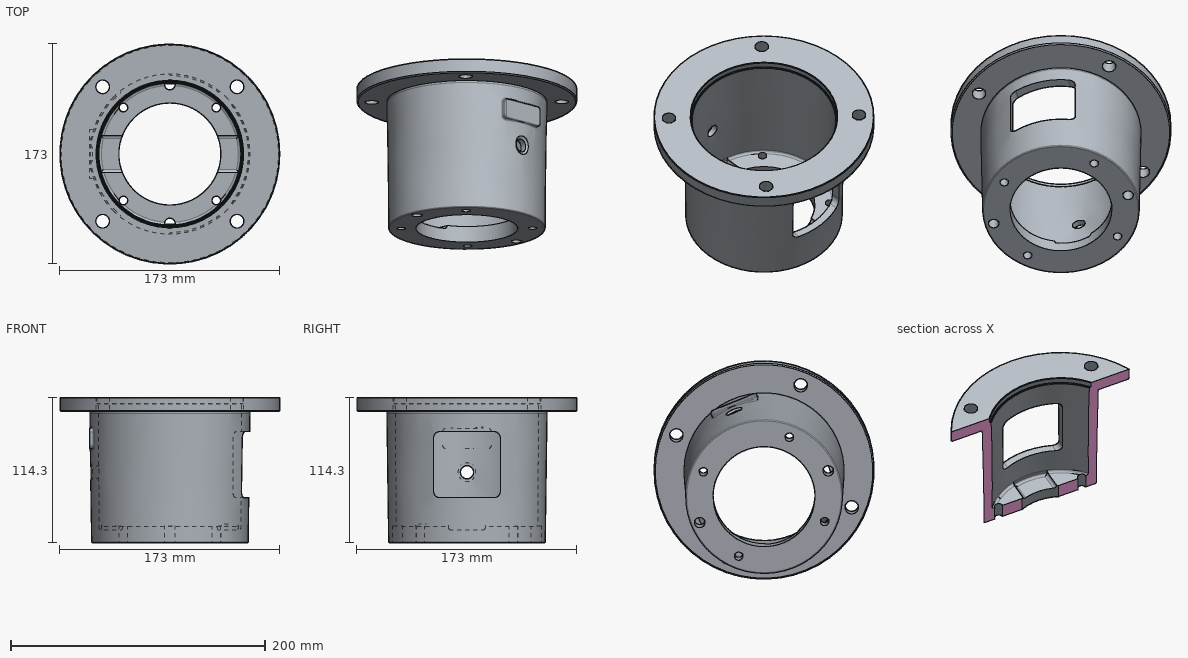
import cadquery as cq

total_height = 114.3
flange_diameter = 172.97
flange_thickness = 11.3
flange_top_chamfer = 0.5
flange_bottom_chamfer = 1.0

collar_height = 1.6
body_top_radius = 63.0
body_bottom_radius = 61.6
body_bottom_fillet = 0.8

pilot_radius = 57.5
pilot_depth = 4.8
pilot_edge_chamfer = 0.5
cavity_top_radius = 56.4
cavity_bottom_radius = 55.8
cavity_entry_chamfer = 0.6
floor_thickness = 12.7
floor_fillet = 2.0
floor_bore_diameter = 80.0

channel_half_width = 14.7
channel_depth = 2.7
channel_corner_radius = 2.5

flange_hole_diameter = 10.5
flange_hole_offset = 52.8
floor_hole_diameter = 6.6
floor_hole_offset = 36.5
edge_hole_diameter = 8.2
edge_hole_offset = 54.6
floor_hole_overrun = 0.4

window_width = 52.4
window_height = 52.0
window_center_z = 61.4
window_corner_radius = 5.0

side_hole_diameter = 10.2
side_hole_mouth_diameter = 15.0
side_hole_mouth_depth = 1.5
side_hole_z = 55.4

pad_width = 38.4
pad_height = 16.2
pad_center_z = 82.0
pad_face_x = -63.2
pad_corner_radius = 3.0
pad_edge_fillet = 0.8
pad_base_fillet = 0.8

flange_bottom_z = total_height - flange_thickness
collar_bottom_z = flange_bottom_z - collar_height
cavity_top_z = total_height - pilot_depth
channel_bottom_z = floor_thickness - channel_depth
flange_radius = flange_diameter / 2


def body_radius_at(z):
    """Outer radius of the drafted wall at height z."""
    return body_bottom_radius + (body_top_radius - body_bottom_radius) * z / collar_bottom_z


def make_shell():
    """Flange and drafted body as one solid of revolution."""
    outline = (
        cq.Workplane("XZ")
        .lineTo(body_bottom_radius, 0)
        .lineTo(body_top_radius, collar_bottom_z)
        .lineTo(body_top_radius, flange_bottom_z)
        .lineTo(flange_radius - flange_bottom_chamfer, flange_bottom_z)
        .lineTo(flange_radius, flange_bottom_z + flange_bottom_chamfer)
        .lineTo(flange_radius, total_height)
        .lineTo(0, total_height)
        .close()
    )
    shell = outline.revolve(360, (0, 0), (0, 1))
    shell = shell.edges("<Z").fillet(body_bottom_fillet)
    return shell.edges(">Z").chamfer(flange_top_chamfer)


def make_cavity():
    """Pilot bore and drafted inside of the body, down to the floor."""
    outline = (
        cq.Workplane("XZ")
        .moveTo(0, floor_thickness)
        .lineTo(cavity_bottom_radius, floor_thickness)
        .lineTo(cavity_top_radius, cavity_top_z - cavity_entry_chamfer)
        .lineTo(cavity_top_radius + cavity_entry_chamfer, cavity_top_z)
        .lineTo(pilot_radius, cavity_top_z)
        .lineTo(pilot_radius, total_height - pilot_edge_chamfer)
        .lineTo(pilot_radius + pilot_edge_chamfer, total_height)
        .lineTo(0, total_height)
        .close()
    )
    cavity = outline.revolve(360, (0, 0), (0, 1))
    return cavity.edges("<Z").fillet(floor_fillet)


def make_channel():
    """Round-cornered channel in the floor, with the same rounding at the wall as the floor."""
    channel_top_z = floor_thickness + floor_fillet
    bar = (
        cq.Workplane("XY", origin=(0, 0, channel_bottom_z))
        .rect(2 * flange_radius, 2 * channel_half_width)
        .extrude(channel_top_z - channel_bottom_z)
        .edges("|X and <Z")
        .fillet(channel_corner_radius)
    )
    rounded_end = (
        cq.Workplane("XY", origin=(0, 0, channel_bottom_z))
        .circle(cavity_bottom_radius)
        .extrude(total_height)
        .edges("<Z")
        .fillet(floor_fillet)
    )
    return bar.intersect(rounded_end)


def make_round_holes(centers, diameter, bottom_z, top_z):
    """Vertical holes of one diameter between two levels."""
    return (
        cq.Workplane("XY", origin=(0, 0, bottom_z))
        .pushPoints(centers)
        .circle(diameter / 2)
        .extrude(top_z - bottom_z)
    )


def corners(offset):
    """Four diagonal positions at the same offset in X and Y."""
    return [(sx * offset, sy * offset) for sx in (-1, 1) for sy in (-1, 1)]


def make_window():
    """Rounded rectangular opening through the +X wall."""
    return (
        cq.Workplane("YZ", origin=(0, 0, window_center_z))
        .rect(window_width, window_height)
        .extrude(flange_radius)
        .edges("|X")
        .fillet(window_corner_radius)
    )


def make_side_hole():
    """Countersunk round hole through the -X wall."""
    hole_radius = side_hole_diameter / 2
    mouth_radius = side_hole_mouth_diameter / 2
    wall_x = body_radius_at(side_hole_z)
    outline = (
        cq.Workplane("XY", origin=(0, 0, side_hole_z))
        .lineTo(0, hole_radius)
        .lineTo(side_hole_mouth_depth - wall_x, hole_radius)
        .lineTo(-wall_x, mouth_radius)
        .lineTo(-flange_radius, mouth_radius)
        .lineTo(-flange_radius, 0)
        .close()
    )
    return outline.revolve(360, (0, 0), (1, 0))


def make_pad():
    """Flat-faced pad that stands out of the -X wall."""
    pad_root_x = -floor_bore_diameter / 2
    return (
        cq.Workplane("YZ", origin=(pad_root_x, 0, pad_center_z))
        .rect(pad_width, pad_height)
        .extrude(pad_face_x - pad_root_x)
        .edges("|X")
        .fillet(pad_corner_radius)
        .faces("<X")
        .edges()
        .fillet(pad_edge_fillet)
    )


edge_hole_centers = [(0, -edge_hole_offset), (0, edge_hole_offset)]
floor_hole_top_z = floor_thickness + floor_hole_overrun

result = make_shell().union(make_pad())
result = result.edges("%BSPLINE").fillet(pad_base_fillet)
result = result.cut(make_cavity())
result = result.cut(make_channel())
result = result.cut(cq.Workplane("XY").circle(floor_bore_diameter / 2).extrude(total_height))
result = result.cut(
    make_round_holes(corners(flange_hole_offset), flange_hole_diameter, flange_bottom_z, total_height)
)
result = result.cut(make_round_holes(corners(floor_hole_offset), floor_hole_diameter, 0, floor_hole_top_z))
result = result.cut(make_round_holes(edge_hole_centers, edge_hole_diameter, 0, floor_hole_top_z))
result = result.cut(make_window())
result = result.cut(make_side_hole())